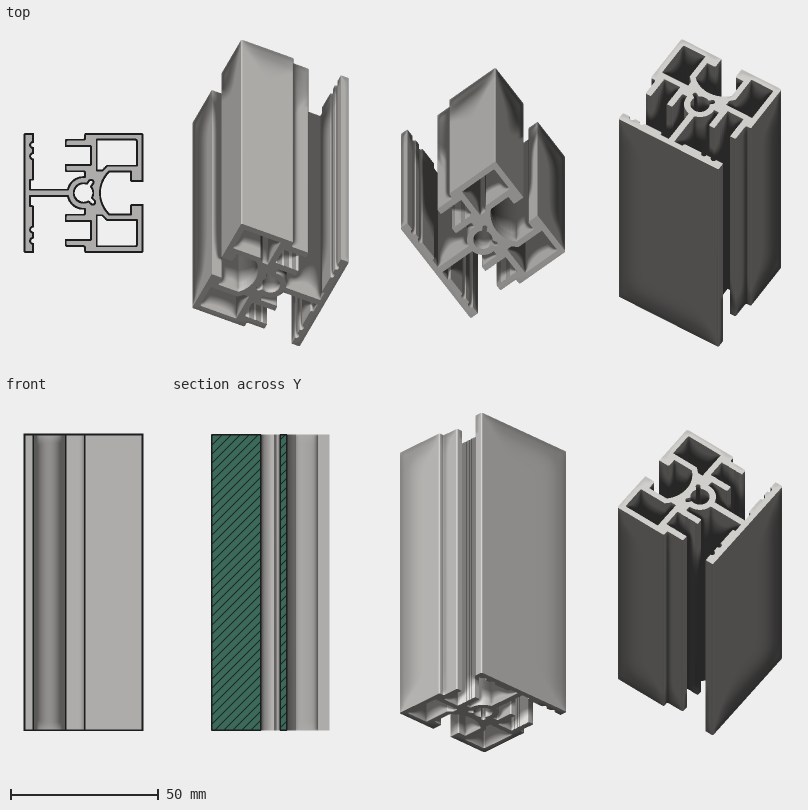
import cadquery as cq

width = 40.0
length = 100.0
half = width / 2
corner_radius = 0.5
sides = (1, -1)

plate_thickness = 3.0
plate_inner_x = -half + plate_thickness
groove_radius = 1.0
groove_ys = (12.4, 16.2)
recess_depth = 1.0
recess_half_width = 4.4

web_half_thickness = 1.1

tube_outer_radius = 5.4
tube_inner_radius = 3.25
relief_width = 1.6
relief_reach = 5.2
relief_angles = (55.0, -45.0)

wall = 2.0
body_x = 0.5
body_fillet = 0.5
shoulder_fillet = 0.5
inner_wall_x = 2.5

fin_tip_x = -6.0
fin_outer_y = half - wall
fin_inner_y = 7.3
fin_tip_fillet = 0.5
channel_outer_y = 15.75
channel_inner_y = 9.55
tooth_pitch = 0.4
tooth_depth = 0.15
tooth_count = 21

chamber_x = inner_wall_x + wall
chamber_inner_y = 7.6
chamber_step_x = 6.4
slot_half_height = 7.2
chamber_shelf_y = slot_half_height + wall
slot_back_x = 5.6
slot_arc_radius = 10.0
slot_arc_center_x = slot_back_x + slot_arc_radius
slot_opening_half = 4.0
lip_x = 16.0


def extrude(sketch):
    """Extrude a closed outline over the whole length."""
    return sketch.extrude(length)


def box(x_min, x_max, y_min, y_max):
    """Full-length block between the given X and Y limits."""
    outline = cq.Workplane("XY").center((x_min + x_max) / 2, (y_min + y_max) / 2)
    return extrude(outline.rect(x_max - x_min, y_max - y_min))


def cylinder(x, y, radius):
    """Full-length round bar."""
    return extrude(cq.Workplane("XY").center(x, y).circle(radius))


def both_sides(shape):
    """The shape together with its mirror image in Y."""
    return shape.union(shape.mirror("XZ"))


def round_at(shape, x, y, radius):
    """Round the lengthwise edge that passes through (x, y)."""
    reach = 0.05
    low_corner = (x - reach, y - reach, -reach)
    high_corner = (x + reach, y + reach, length + reach)
    picker = cq.selectors.BoxSelector(low_corner, high_corner)
    return shape.edges("|Z").edges(picker).fillet(radius)


def make_plate():
    plate = box(-half, plate_inner_x, -half, half)
    plate = plate.edges("|Z and <X").fillet(corner_radius)
    recess = box(plate_inner_x - recess_depth, plate_inner_x, -recess_half_width, recess_half_width)
    plate = plate.cut(recess)
    for side in sides:
        plate = round_at(plate, plate_inner_x, side * recess_half_width, corner_radius)
    for y in groove_ys:
        plate = plate.cut(both_sides(cylinder(plate_inner_x, y, groove_radius)))
    return plate


def make_screw_channel():
    """Channel between two fins, with triangular teeth along both flanks."""
    points = [(fin_tip_x, channel_inner_y)]
    for i in range(tooth_count):
        x = fin_tip_x + i * tooth_pitch
        points.append((x + tooth_pitch / 2, channel_inner_y - tooth_depth))
        points.append((x + tooth_pitch, channel_inner_y))
    points.append((inner_wall_x, channel_inner_y))
    mirror_sum = channel_inner_y + channel_outer_y
    points += [(x, mirror_sum - y) for x, y in reversed(points)]
    return extrude(cq.Workplane("XY").polyline(points).close())


def make_chamber():
    """Closed corner chamber, with its inner edge stepped by a 45 degree face along the slot wall."""
    outer = half - wall
    step = chamber_shelf_y - chamber_inner_y
    points = [
        (chamber_x, chamber_inner_y),
        (chamber_step_x, chamber_inner_y),
        (chamber_step_x + step, chamber_shelf_y),
        (outer, chamber_shelf_y),
        (outer, outer),
        (chamber_x, outer),
    ]
    chamber = extrude(cq.Workplane("XY").polyline(points).close())
    return round_at(chamber, outer, outer, corner_radius)


def make_slot():
    """Undercut slot with an arched back, open towards +X."""
    slot = box(slot_back_x, lip_x, -slot_half_height, slot_half_height)
    arch = cylinder(slot_arc_center_x, 0, slot_arc_radius)
    slot = slot.intersect(arch.union(box(slot_arc_center_x, half, -half, half)))
    return slot.union(box(lip_x, half, -slot_opening_half, slot_opening_half))


def make_body():
    body = box(body_x, half, -half, half)
    body = body.edges("|Z and >X").fillet(corner_radius)
    fins = box(fin_tip_x, inner_wall_x, fin_inner_y, fin_outer_y)
    body = body.union(both_sides(fins))
    for side in sides:
        body = round_at(body, body_x, side * fin_outer_y, body_fillet)
        body = round_at(body, body_x, side * half, shoulder_fillet)
        body = round_at(body, fin_tip_x, side * fin_outer_y, fin_tip_fillet)
        body = round_at(body, fin_tip_x, side * fin_inner_y, fin_tip_fillet)
        body = round_at(body, body_x, side * fin_inner_y, body_fillet)
    body = body.cut(both_sides(make_screw_channel()))
    body = body.cut(both_sides(make_chamber()))
    body = body.cut(make_slot())
    for side in sides:
        body = round_at(body, lip_x, side * slot_opening_half, corner_radius)
    return body


def make_relief(angle):
    """Round-ended radial slot opening into the tube bore."""
    end_x = relief_reach - relief_width / 2
    slot = box(0, end_x, -relief_width / 2, relief_width / 2)
    slot = slot.union(cylinder(end_x, 0, relief_width / 2))
    return slot.rotate((0, 0, 0), (0, 0, 1), angle)


web = box(plate_inner_x - recess_depth, 0, -web_half_thickness, web_half_thickness)
tube = cylinder(0, 0, tube_outer_radius)
result = make_plate().union(web).union(make_body()).union(tube)
result = result.cut(cylinder(0, 0, tube_inner_radius))
for angle in relief_angles:
    result = result.cut(make_relief(angle))